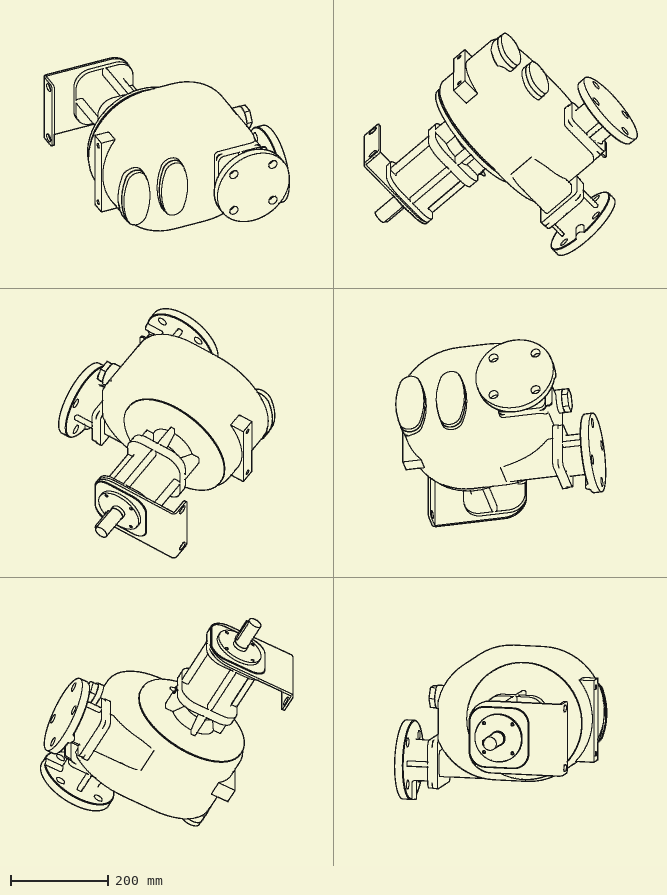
import cadquery as cq
import math


shaft_radius = 14.0
collar_start = 58.0
collar_radius = 15.0
key_start = 3.5
key_end = 54.5
key_width = 9.5
key_top = 17.0
cap_start = 65.5
cap_radius = 50.0
cap_hole_radius = 3.0
cap_hole_spacing = 60.5

frame_front = 72.0
front_plate_end = 89.0
rear_plate_start = 195.5
rear_plate_end = 215.0
frame_half = 65.0
frame_corner = 34.5
frame_edge = 2.5
barrel_radius = 51.0
barrel_fillet = 2.5
barrel_rib_width = 10.5
hub_radius = 33.0
hub_flare_start = 240.5
hub_flare_radius = 48.5
side_rib_width = 20.5
top_rib_width = 10.0
rib_fillet = 2.5

nipple_x = 223.0
nipple_base_radius = 7.0
nipple_base_height = 2.0
nipple_radius = 4.5
nipple_tip_radius = 1.8
nipple_top = 77.0

bracket_front = 73.5
bracket_thickness = 5.0
bracket_half_width = 75.0
bracket_top_corner = 46.5
bracket_foot_end = 120.0
bracket_bottom = -133.0
bracket_bend = 8.5
foot_corner = 8.0
foot_hole_x = 102.0
foot_hole_spacing = 124.5
foot_hole_length = 19.0
foot_hole_width = 14.0

cover_start = 265.5
casing_start = 278.5
casing_end = 435.5
cover_radius = 122.5
cover_edge = 3.5
gasket_start = 276.0
gasket_radius = 121.0
casing_radius = 130.0
upper_arc_y = 62.5
lower_arc_y = 70.5
casing_flat_y = 189.0
casing_fillet = 14.5

bar_x = 344.0
bar_width = 31.5
bar_top = 81.0
bar_bottom = -90.0
bar_depth = 39.0
bar_hole_zs = (65.0, -75.0)
bar_hole_radius = 4.5
bar_hole_depth = 15.5

port_length = 83.0
suction_embed = 15.5
port_plate_top = 20.5
port_plate_size = 100.5
port_base_corner = 9.0
port_rim_corner = 13.0
port_rim_start = 11.0
pipe_radius = 42.5
pipe_fillet = 5.0
pipe_root_fillet = 2.5
pipe_rib_width = 10.5
pipe_rib_span = 100.5
flange_radius = 82.0
flange_thickness = 18.0
flange_edge = 1.5
bolt_count = 4
bolt_start_angle = 45
bolt_circle_radius = 62.5
bolt_hole_radius = 9.5
gauge_boss_radius = 12.0
gauge_boss_depth = 13.0
suction_y = 138.5
suction_z = -9.5
discharge_x = 328.5
discharge_z = -103.0
discharge_start = 187.5

neck_width = 70.5
neck_top = -75.5
neck_fillet = 7.0
neck_start_y = 72.5

tongue_start = 445.5
tongue_thickness = 3.5
tongue_top = 201.5
tongue_length = 83.0
tongue_corner = 8.0

plug_x = 329.0
plug_z = 31.0
plug_boss_radius = 24.5
plug_boss_top = 200.5
plug_top = 213.0
plug_flats = 42.0
plug_turn = 30

oval_half_width = 30.5
oval_half_height = 65.0
oval_joint_y = 21.0
oval_joint_z = 51.0
oval_ys = (-11.5, -97.0)
oval_z = -9.5
oval_embed = 9.0
oval_pad_end = 445.5
oval_lid_end = 455.0
oval_lid_inset = 0.8


def rod(x_start, x_end, radius):
    """Cylinder on the shaft axis."""
    return cq.Workplane("YZ", origin=(x_start, 0, 0)).circle(radius).extrude(x_end - x_start)


def block(x_range, y_range, z_range):
    """Box given by its limits along each axis."""
    size = [high - low for low, high in (x_range, y_range, z_range)]
    corner = (x_range[0], y_range[0], z_range[0])
    return cq.Workplane("XY").box(*size, centered=False).translate(corner)


def frame_plate(x_start, x_end):
    """Rounded square plate of the bearing frame."""
    plate = cq.Workplane("YZ", origin=(x_start, 0, 0)).rect(2 * frame_half, 2 * frame_half)
    return plate.extrude(x_end - x_start).edges("|X").fillet(frame_corner)


def cross_ribs(x_start, x_end, y_side_width, z_side_width):
    """Four ribs reaching the frame outline on the Y and Z sides."""
    ribs = cq.Workplane("YZ", origin=(x_start, 0, 0))
    length = x_end - x_start
    across_y = ribs.rect(2 * frame_half, y_side_width).extrude(length)
    across_z = ribs.rect(z_side_width, 2 * frame_half).extrude(length)
    return across_y.edges("|X").fillet(rib_fillet).union(across_z.edges("|X").fillet(rib_fillet))


def make_shaft():
    key_length = key_end - key_start
    key = (
        cq.Workplane("XZ", origin=((key_start + key_end) / 2, 0, 0))
        .slot2D(key_length, key_width)
        .extrude(-key_top)
    )
    shaft = rod(0, cap_start, shaft_radius).union(rod(collar_start, cap_start, collar_radius))
    cap_holes = (
        cq.Workplane("YZ", origin=(cap_start, 0, 0))
        .rect(cap_hole_spacing, cap_hole_spacing, forConstruction=True)
        .vertices()
        .circle(cap_hole_radius)
        .extrude(frame_front - cap_start)
    )
    cap = rod(cap_start, frame_front, cap_radius).cut(cap_holes)
    return shaft.union(key).union(cap)


def make_frame():
    front_plate = frame_plate(frame_front, front_plate_end).faces("<X").edges().chamfer(frame_edge)
    rear_plate = frame_plate(rear_plate_start, rear_plate_end)
    barrel = rod(front_plate_end, rear_plate_start, barrel_radius)
    frame = front_plate.union(barrel).union(rear_plate)
    frame = frame.edges(cq.selectors.RadiusNthSelector(-1)).fillet(barrel_fillet)
    frame = frame.union(
        cross_ribs(front_plate_end, rear_plate_start, barrel_rib_width, barrel_rib_width)
    )
    hub = (
        cq.Workplane("XY")
        .moveTo(rear_plate_end, 0)
        .lineTo(rear_plate_end, hub_radius)
        .lineTo(hub_flare_start, hub_radius)
        .lineTo(cover_start, hub_flare_radius)
        .lineTo(cover_start, 0)
        .close()
        .revolve(360, (0, 0, 0), (1, 0, 0))
    )
    rear_ribs = cross_ribs(rear_plate_end, cover_start, side_rib_width, top_rib_width)
    return frame.union(hub).union(rear_ribs)


def make_nipple():
    base_top = frame_half + nipple_base_height
    return (
        cq.Workplane("XY")
        .moveTo(0, hub_radius)
        .lineTo(nipple_base_radius, hub_radius)
        .lineTo(nipple_base_radius, base_top)
        .lineTo(nipple_radius, base_top)
        .lineTo(nipple_tip_radius, nipple_top)
        .lineTo(0, nipple_top)
        .close()
        .revolve(360, (0, 0, 0), (0, 1, 0))
        .translate((nipple_x, 0, 0))
    )


def make_bracket():
    back = bracket_front + bracket_thickness
    foot_top = bracket_bottom + bracket_thickness
    full_width = (-bracket_half_width, bracket_half_width)
    upright = block((bracket_front, back), (bracket_bottom, frame_half), full_width)
    upright = upright.faces(">Y").edges("|X").fillet(bracket_top_corner)
    foot = block((bracket_front, bracket_foot_end), (bracket_bottom, foot_top), full_width)
    foot = foot.faces(">X").edges("|Y").fillet(foot_corner)
    bracket = upright.union(foot)
    bracket = bracket.faces("<X").edges("<Y").fillet(bracket_bend)
    holes = (
        cq.Workplane("XZ", origin=(foot_hole_x, foot_top, 0))
        .pushPoints([(0, -foot_hole_spacing / 2), (0, foot_hole_spacing / 2)])
        .slot2D(foot_hole_length, foot_hole_width)
        .extrude(bracket_thickness)
    )
    return bracket.cut(holes)


def make_casing():
    upper_z = math.sqrt(casing_radius**2 - (casing_flat_y - upper_arc_y) ** 2)
    lower_z = -math.sqrt(casing_radius**2 - (casing_flat_y - lower_arc_y) ** 2)
    diagonal = casing_radius * math.sqrt(0.5)
    casing = (
        cq.Workplane("YZ", origin=(casing_start, 0, 0))
        .moveTo(0, -casing_radius)
        .threePointArc((-casing_radius, 0), (0, casing_radius))
        .lineTo(upper_arc_y, casing_radius)
        .threePointArc((upper_arc_y + diagonal, diagonal), (casing_flat_y, upper_z))
        .lineTo(casing_flat_y, lower_z)
        .threePointArc((lower_arc_y + diagonal, -diagonal), (lower_arc_y, -casing_radius))
        .close()
        .extrude(casing_end - casing_start)
        .faces("<X or >X")
        .edges()
        .fillet(casing_fillet)
    )
    cover = rod(cover_start, gasket_start, cover_radius).faces("<X").edges().fillet(cover_edge)
    gasket = rod(gasket_start, casing_start, gasket_radius)
    return casing.union(cover).union(gasket)


def make_bar():
    x_range = (bar_x - bar_width / 2, bar_x + bar_width / 2)
    y_range = (bracket_bottom, bracket_bottom + bar_depth)
    bar = block(x_range, y_range, (bar_bottom, bar_top))
    holes = (
        cq.Workplane("XZ", origin=(bar_x, bracket_bottom, 0))
        .pushPoints([(0, z) for z in bar_hole_zs])
        .circle(bar_hole_radius)
        .extrude(-bar_hole_depth)
    )
    return bar.cut(holes)


def make_port(origin, gauge_side, axis, embed):
    """Square plate, ribbed pipe and bolted flange, with a gauge boss on one side.

    The square plate has a base and a more rounded rim.
    The base starts deeper than the origin by the embed length.
    """
    plane = cq.Plane(origin=origin, xDir=gauge_side, normal=axis)
    along_axis = cq.selectors.ParallelDirSelector(cq.Vector(*axis))

    def level(height):
        return cq.Workplane(plane).workplane(offset=height)

    def square(bottom, top, corner):
        slab = level(bottom).rect(port_plate_size, port_plate_size).extrude(top - bottom)
        return slab.edges(along_axis).fillet(corner)

    flange_back = port_length - flange_thickness
    base = square(-embed, port_rim_start, port_base_corner)
    rim = square(port_rim_start, port_plate_top, port_rim_corner)
    ribs = level(port_plate_top).rect(pipe_rib_width, pipe_rib_span).extrude(flange_back - port_plate_top)
    ribs = ribs.edges(along_axis).fillet(rib_fillet)

    inner_edge = flange_radius - flange_edge
    fillet_mid = pipe_fillet * (1 - math.sqrt(0.5))
    root_mid = pipe_root_fillet * (1 - math.sqrt(0.5))
    profile = (
        cq.Workplane("XY")
        .moveTo(0, 0)
        .lineTo(pipe_radius + pipe_root_fillet, 0)
        .lineTo(pipe_radius + pipe_root_fillet, port_plate_top)
        .threePointArc(
            (pipe_radius + root_mid, port_plate_top + root_mid),
            (pipe_radius, port_plate_top + pipe_root_fillet),
        )
        .lineTo(pipe_radius, flange_back - pipe_fillet)
        .threePointArc(
            (pipe_radius + fillet_mid, flange_back - fillet_mid),
            (pipe_radius + pipe_fillet, flange_back),
        )
        .lineTo(inner_edge, flange_back)
        .lineTo(flange_radius, flange_back + flange_edge)
        .lineTo(flange_radius, port_length)
        .lineTo(0, port_length)
        .close()
        .revolve(360, (0, 0, 0), (0, 1, 0))
        .rotate((0, 0, 0), (1, 0, 0), 90)
    )
    pipe = cq.Workplane(profile.val().moved(cq.Location(plane)))
    boss_plane = cq.Plane(
        origin=plane.toWorldCoords((0, 0, port_length - gauge_boss_depth)), xDir=axis, normal=gauge_side
    )
    boss = cq.Workplane(boss_plane).circle(gauge_boss_radius).extrude(flange_radius)
    boss = boss.intersect(level(0).circle(flange_radius).extrude(port_length))
    bolt_holes = (
        level(flange_back)
        .polarArray(bolt_circle_radius, bolt_start_angle, 360, bolt_count)
        .circle(bolt_hole_radius)
        .extrude(flange_thickness)
    )
    return base.union(rim).union(ribs).union(pipe).union(boss).cut(bolt_holes)


def make_neck():
    half = neck_width / 2
    neck = block(
        (discharge_x - half, discharge_x + half),
        (neck_start_y, discharge_start),
        (-casing_radius, neck_top),
    )
    return neck.edges("|Y").fillet(neck_fillet)


def make_tongue():
    half = tongue_length / 2
    tongue = block(
        (tongue_start, tongue_start + tongue_thickness),
        (suction_y, tongue_top),
        (suction_z - half, suction_z + half),
    )
    return tongue.faces(">Y").edges("|X").fillet(tongue_corner)


def make_plug():
    axis_start = cq.Workplane("XZ", origin=(plug_x, upper_arc_y, plug_z))
    boss = axis_start.circle(plug_boss_radius).extrude(upper_arc_y - plug_boss_top)
    hexagon = axis_start.polygon(6, plug_flats, circumscribed=True).extrude(upper_arc_y - plug_top)
    hexagon = hexagon.rotate((plug_x, 0, plug_z), (plug_x, 1, plug_z), plug_turn)
    return boss.union(hexagon)


def oval(x, y):
    """Oval outline of four arcs that meet almost smoothly."""
    return (
        cq.Workplane("YZ", origin=(x, y, oval_z))
        .moveTo(-oval_joint_y, oval_joint_z)
        .threePointArc((0, oval_half_height), (oval_joint_y, oval_joint_z))
        .threePointArc((oval_half_width, 0), (oval_joint_y, -oval_joint_z))
        .threePointArc((0, -oval_half_height), (-oval_joint_y, -oval_joint_z))
        .threePointArc((-oval_half_width, 0), (-oval_joint_y, oval_joint_z))
        .close()
    )


def make_cleaning_cover(y):
    pad_start = casing_end - oval_embed
    pad = oval(pad_start, y).extrude(oval_pad_end - pad_start)
    lid = oval(oval_pad_end, y).offset2D(-oval_lid_inset).extrude(oval_lid_end - oval_pad_end)
    return pad.union(lid)


result = make_casing()
features = [
    make_frame(),
    make_shaft(),
    make_nipple(),
    make_bracket(),
    make_bar(),
    make_neck(),
    make_port((casing_end, suction_y, suction_z), (0, 1, 0), (1, 0, 0), suction_embed),
    make_port((discharge_x, discharge_start, discharge_z), (0, 0, -1), (0, 1, 0), 0),
    make_tongue(),
    make_plug(),
]
features += [make_cleaning_cover(y) for y in oval_ys]
for feature in features:
    result = result.union(feature)